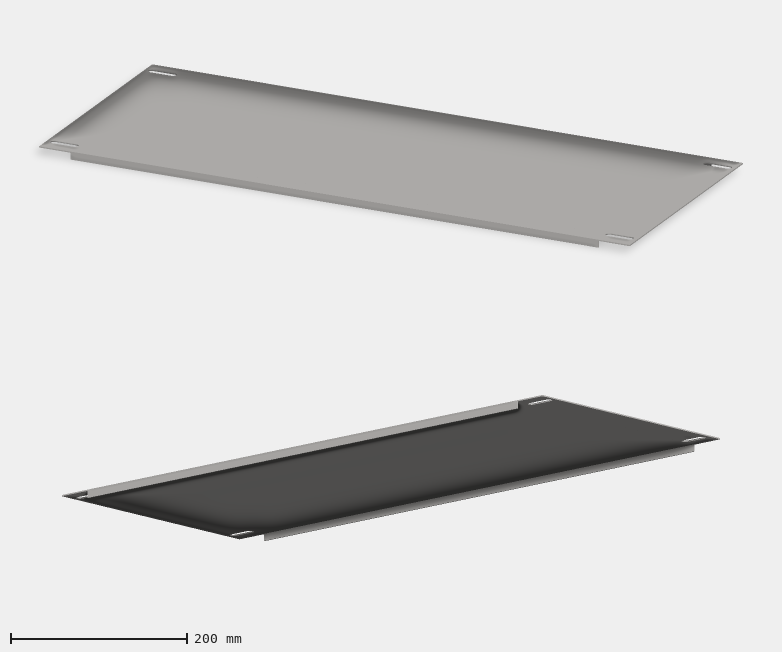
import cadquery as cq

panel_length = 744.0
panel_width = 297.0
panel_height = 10.0
sheet_thickness = 1.5

flange_length = 665.0

slot_length = 35.0
slot_width = 9.0
slot_spacing_x = 699.0
slot_spacing_y = 257.0


def make_plate():
    """Flat sheet forming the top of the panel."""
    return (
        cq.Workplane("XY")
        .workplane(offset=panel_height - sheet_thickness)
        .rect(panel_length, panel_width)
        .extrude(sheet_thickness)
    )


def make_flange(side):
    """Downturned flange on the long edge at +Y (side = 1) or -Y (side = -1)."""
    center_y = side * (panel_width - sheet_thickness) / 2
    return (
        cq.Workplane("XY")
        .center(0, center_y)
        .rect(flange_length, sheet_thickness)
        .extrude(panel_height)
    )


def make_slots():
    """Round-ended cutters for the four mounting slots."""
    return (
        cq.Workplane("XY")
        .rect(slot_spacing_x, slot_spacing_y, forConstruction=True)
        .vertices()
        .slot2D(slot_length, slot_width)
        .extrude(panel_height)
    )


result = make_plate()
for side in (-1, 1):
    result = result.union(make_flange(side))
result = result.cut(make_slots())